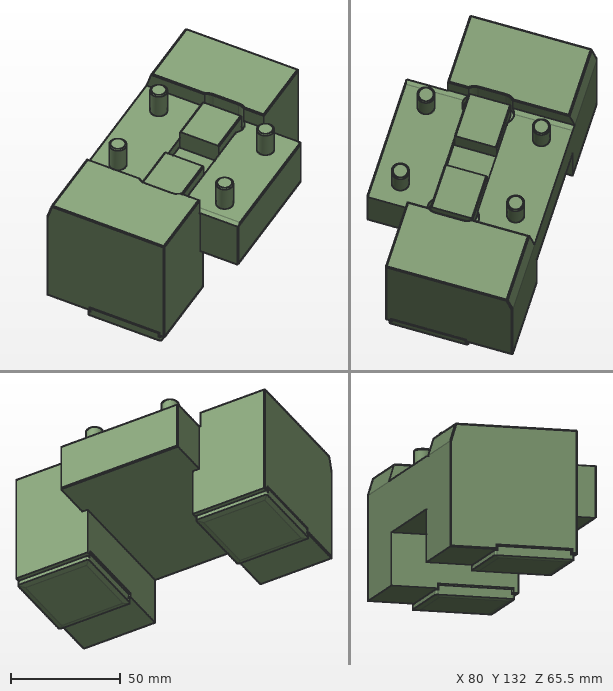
import cadquery as cq

length_x = 80.0
length_y = 132.0
height = 65.5
mid_x = length_x / 2

housing_x = 60.5
housing_bottom = 3.3
cap_top = 60.7
deck_z = 52.5
cap_lean = 2.5
cap_inner_front = -30.9
cap_inner_back = 31.8
leg_inner_y = 27.9
arch_z = 28.0
edge_break = 0.5

arm_front = -30.6
arm_back = 31.3
deck_slope_start = -28.0
deck_slope_drop = 0.5

pocket_width = 20.9
pocket_end_width = 24.3
pocket_end_radius = 5.5
pocket_front = -32.5
pocket_back = 33.0
pocket_floor = 47.3

block_width = 20.0
block_inner_y = 7.5
block_outer_y = 29.7
block_top = 57.3
block_edge = 0.5

pin_diameter = 8.0
pin_spacing_x = 54.9
pin_spacing_y = 40.0
pin_chamfer = 0.7

pad_width = 37.8
pad_mid_x = 40.0
pad_inner_y = 28.4
pad_flange_height = 2.8
pad_neck_width = 34.8
pad_corner_radius = 0.99
pad_bevel_height = 0.5
pad_bevel_inset = 2.6
neck_top = 4.9
slot_flare = 0.7


def box(x_range, y_range, z_range):
    """Axis-aligned block spanning the given (low, high) ranges."""
    size = [high - low for low, high in (x_range, y_range, z_range)]
    corner = (x_range[0], y_range[0], z_range[0])
    return cq.Workplane("XY").box(*size, centered=False).translate(corner)


def make_housing():
    """Legs, bridge and caps; the -X face leans back above the deck.

    The pocket is cut before the bevel so that the bevel follows its rim.
    """
    profile = [
        (0, housing_bottom),
        (housing_x, housing_bottom),
        (housing_x, cap_top),
        (cap_lean, cap_top),
        (0, deck_z),
    ]
    body = cq.Workplane("XZ").polyline(profile).close().extrude(length_y / 2, both=True)
    body = body.cut(box((0, housing_x), (cap_inner_front, cap_inner_back), (deck_z, cap_top)))
    body = body.cut(make_pocket())
    return body.faces(">Z or <Y or >Y").edges().chamfer(edge_break)


def make_arm():
    """Bridge core running the full length in X, bevelled around its +X end."""
    arm = box((0, length_x), (arm_front, arm_back), (arch_z, deck_z))
    return arm.faces(">X").edges().chamfer(edge_break)


def make_deck_slope():
    """Wedge removed along the -Y side of the deck, falling gently toward the front cap."""
    wedge = [
        (deck_slope_start, deck_z),
        (cap_inner_front, deck_z),
        (cap_inner_front, deck_z - deck_slope_drop),
    ]
    return cq.Workplane("YZ").polyline(wedge).close().extrude(length_x)


def make_pocket():
    """Straight-sided opening between two wider round-cornered ends, cut up through the caps."""
    pocket_z = (pocket_floor, cap_top)
    front_end_y = pocket_front + pocket_end_radius
    back_end_y = pocket_back - pocket_end_radius
    side_x = (mid_x - pocket_width / 2, mid_x + pocket_width / 2)
    pocket = box(side_x, (front_end_y, back_end_y), pocket_z)
    for end_y in (front_end_y, back_end_y):
        end = (
            cq.Workplane("XY", origin=(mid_x, end_y, pocket_floor))
            .slot2D(pocket_end_width, 2 * pocket_end_radius)
            .extrude(cap_top - pocket_floor)
        )
        pocket = pocket.union(end)
    return pocket


def make_block():
    """The +Y block, bevelled along its two long top edges."""
    side_x = (mid_x - block_width / 2, mid_x + block_width / 2)
    block = box(side_x, (block_inner_y, block_outer_y), (pocket_floor, block_top))
    return block.faces(">Z").edges("<X or >X").chamfer(block_edge)


def make_pins():
    """Four locating pins rooted below the deck, with bevelled tips."""
    return (
        cq.Workplane("XY", origin=(mid_x, 0, pocket_floor))
        .rarray(pin_spacing_x, pin_spacing_y, 2, 2)
        .circle(pin_diameter / 2)
        .extrude(height - pocket_floor)
        .faces(">Z")
        .chamfer(pin_chamfer)
    )


def across_pad(width):
    """X range of the given width centred on the pad."""
    return (pad_mid_x - width / 2, pad_mid_x + width / 2)


def make_pad():
    """Round-cornered flange with a shallow bevel underneath, on a neck rising into the leg."""
    pad_y = (pad_inner_y, length_y / 2)
    plate = box(across_pad(pad_width), pad_y, (0, pad_flange_height))
    bevelled = plate.faces("<Z").chamfer(pad_bevel_height, pad_bevel_inset)
    flange = plate.edges("|Z").fillet(pad_corner_radius).intersect(bevelled)
    neck = box(across_pad(pad_neck_width), pad_y, (pad_bevel_height, neck_top))
    return flange.union(neck)


def make_slot_flares():
    """Bevelled grooves framing the pad neck on the outer and inner faces of the leg."""
    flare_width = pad_neck_width + 2 * slot_flare
    flare_height = 2 * (neck_top + slot_flare)
    outer_y = length_y / 2
    leg_mid_y = (leg_inner_y + outer_y) / 2
    outer_flare = (
        cq.Workplane("XZ", origin=(pad_mid_x, outer_y, 0))
        .rect(flare_width, flare_height)
        .extrude(slot_flare, taper=45)
    )
    return outer_flare.union(outer_flare.mirror("XZ", (0, leg_mid_y, 0)))


def both_ends(shape):
    """The shape together with its mirror image across the Y = 0 plane."""
    return shape.union(shape.mirror("XZ"))


arch = box((0, length_x), (-leg_inner_y, leg_inner_y), (0, arch_z))
result = (
    make_housing()
    .cut(arch)
    .union(make_arm())
    .cut(make_deck_slope())
    .cut(make_pocket())
    .cut(both_ends(make_slot_flares()))
    .union(both_ends(make_block()))
    .union(make_pins())
    .union(both_ends(make_pad()))
)